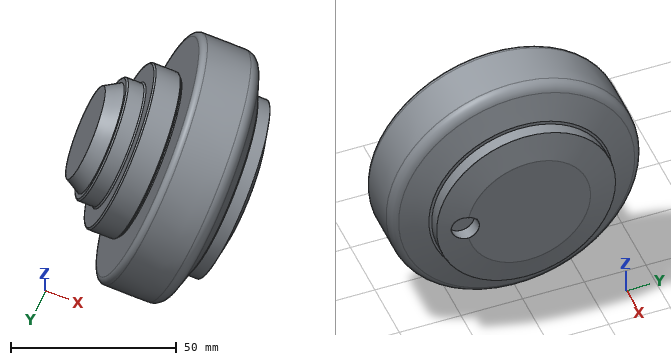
import cadquery as cq
import math


collar_start = 5.0
flange_start = 11.05
neck_start = 20.0
roller_start = 20.45
roller_end = 43.7
cap_start = 44.1
cap_cone_start = 48.1
total_length = 50.5

nose_tip_radius = 15.1
nose_base_radius = 18.0
collar_radius = 40.0 / 2
flange_radius = 54.0 / 2
neck_radius = 52.0 / 2
roller_radius = 40.9
cap_radius = 58.0 / 2
cap_face_radius = 20.0

edge_chamfer = 0.5
front_fillet = 2.0
rear_fillet = 4.0
rear_cone_angle = math.radians(69)
crown_radius = 499.8

recess_diameter = 8.6
recess_offset = 20.4
recess_depth = 4.1


def round_point(center_x, center_r, radius, angle):
    """Point on a round corner, with the angle measured from the outward radial direction."""
    return center_x + radius * math.sin(angle), center_r + radius * math.cos(angle)


tread_start = roller_start + front_fillet
rear_round_width = rear_fillet * math.sin(rear_cone_angle)
rear_round_drop = rear_fillet * (1 - math.cos(rear_cone_angle))
cone_length = 3.3
tread_end = roller_end - cone_length - rear_round_width
tread_middle = (tread_start + tread_end) / 2
half_tread = (tread_end - tread_start) / 2
crown_height = crown_radius - math.sqrt(crown_radius**2 - half_tread**2)
tread_edge_radius = roller_radius - crown_height

front_center_r = tread_edge_radius - front_fillet
rear_center_r = tread_edge_radius - rear_fillet
front_round_middle = round_point(tread_start, front_center_r, front_fillet, -math.pi / 4)
rear_round_middle = round_point(tread_end, rear_center_r, rear_fillet, rear_cone_angle / 2)
cone_start_radius = tread_edge_radius - rear_round_drop
cone_end_radius = cone_start_radius - cone_length * math.tan(rear_cone_angle)

profile = (
    cq.Workplane("XY")
    .moveTo(0, 0)
    .lineTo(0, nose_tip_radius)
    .lineTo(collar_start, nose_base_radius)
    .lineTo(collar_start, collar_radius - edge_chamfer)
    .lineTo(collar_start + edge_chamfer, collar_radius)
    .lineTo(flange_start - edge_chamfer, collar_radius)
    .lineTo(flange_start, collar_radius + edge_chamfer)
    .lineTo(flange_start, flange_radius - edge_chamfer)
    .lineTo(flange_start + edge_chamfer, flange_radius)
    .lineTo(neck_start - edge_chamfer, flange_radius)
    .lineTo(neck_start, flange_radius - edge_chamfer)
    .lineTo(neck_start, neck_radius)
    .lineTo(roller_start, neck_radius)
    .lineTo(roller_start, front_center_r)
    .threePointArc(front_round_middle, (tread_start, tread_edge_radius))
    .threePointArc((tread_middle, roller_radius), (tread_end, tread_edge_radius))
    .threePointArc(rear_round_middle, (tread_end + rear_round_width, cone_start_radius))
    .lineTo(roller_end, cone_end_radius)
    .lineTo(roller_end, neck_radius)
    .lineTo(cap_start, neck_radius)
    .lineTo(cap_start, cap_radius)
    .lineTo(cap_cone_start, cap_radius)
    .lineTo(total_length, cap_face_radius)
    .lineTo(total_length, 0)
    .close()
)
body = profile.revolve(360, (0, 0, 0), (1, 0, 0))

recess = (
    cq.Workplane("YZ", origin=(total_length - recess_depth, -recess_offset, 0))
    .circle(recess_diameter / 2)
    .extrude(recess_depth)
)

result = body.cut(recess)